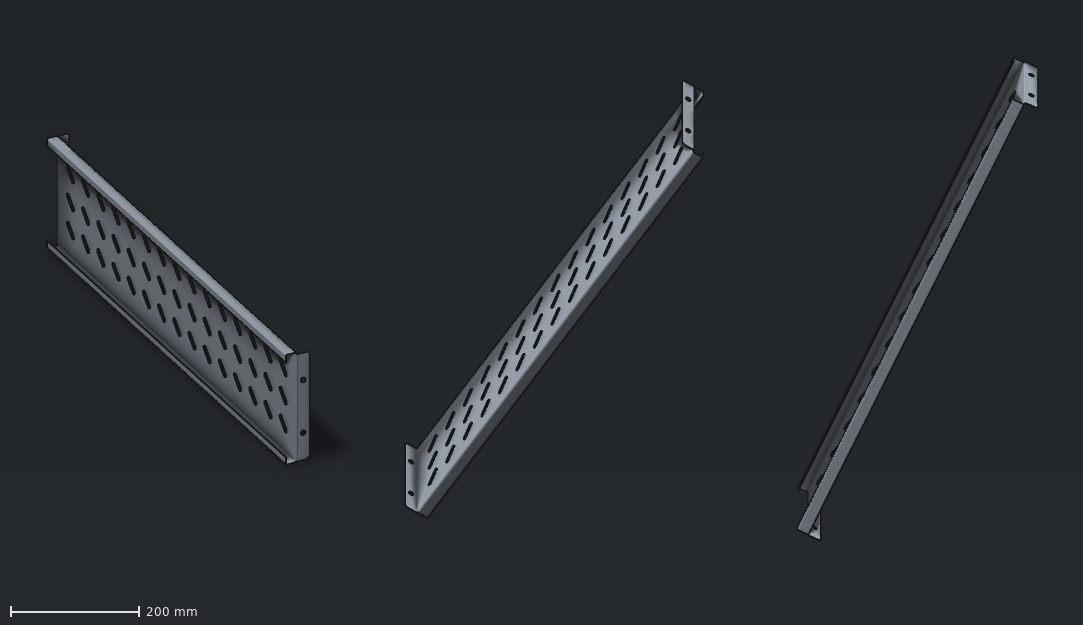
import cadquery as cq

length = 792.0
depth = 41.0
height = 197.0
thickness = 1.5
inner_radius = thickness
rail_depth = 20.0
lip_height = 14.0
corner_chamfer = 4.0

slot_columns = 15
slot_rows = 3
slot_span = 700.0
slot_length = 31.0
slot_width = 9.0
slot_angle = -45.0

hole_diameter = 9.0
hole_spacing = 94.0
hole_edge_distance = 11.0

outer_radius = inner_radius + thickness
lip_front = -rail_depth
slot_pitch = slot_span / (slot_columns - 1)
end_flange_rear = depth - rail_depth
rail_length = length - 2 * outer_radius
end_height = height - 2 * outer_radius


def make_panel_with_rails():
    """Panel with a forward flange and an inward lip along both long edges."""
    lip_opening = height - 2 * lip_height
    outside = (
        cq.Workplane("XY")
        .box(rail_length, rail_depth, height)
        .edges("|X")
        .fillet(outer_radius)
    )
    inside = (
        cq.Workplane("XY")
        .box(rail_length, rail_depth - 2 * thickness, height - 2 * thickness)
        .edges("|X")
        .fillet(inner_radius)
    )
    opening = (
        cq.Workplane("XY")
        .box(rail_length, rail_depth, lip_opening)
        .translate((0, -rail_depth / 2, 0))
    )
    return outside.cut(inside).cut(opening).translate((0, lip_front / 2, 0))


def make_end_flange(side):
    """Quarter-round bend and rearward flange at one end; side is +1 or -1."""
    bend_start = side * rail_length / 2
    outer_face = side * length / 2
    inner_face = outer_face - side * thickness
    return (
        cq.Workplane("XY")
        .moveTo(bend_start, -thickness)
        .radiusArc((outer_face, inner_radius), -side * outer_radius)
        .lineTo(outer_face, end_flange_rear)
        .lineTo(inner_face, end_flange_rear)
        .lineTo(inner_face, inner_radius)
        .radiusArc((bend_start, 0), side * inner_radius)
        .close()
        .extrude(end_height / 2, both=True)
        .edges("|X and >Y")
        .chamfer(corner_chamfer)
    )


def make_slots():
    """Grid of slanted slots through the panel."""
    return (
        cq.Workplane("XZ")
        .rarray(slot_pitch, slot_pitch, slot_columns, slot_rows)
        .slot2D(slot_length, slot_width, slot_angle)
        .extrude(thickness)
    )


def make_end_holes():
    """Pairs of mounting holes through both end flanges."""
    return (
        cq.Workplane("YZ")
        .center(end_flange_rear - hole_edge_distance, 0)
        .rarray(8, hole_spacing, 1, 2)
        .circle(hole_diameter / 2)
        .extrude(length / 2, both=True)
    )


result = make_panel_with_rails()
for end_side in (-1, 1):
    result = result.union(make_end_flange(end_side))
result = result.cut(make_slots()).cut(make_end_holes())